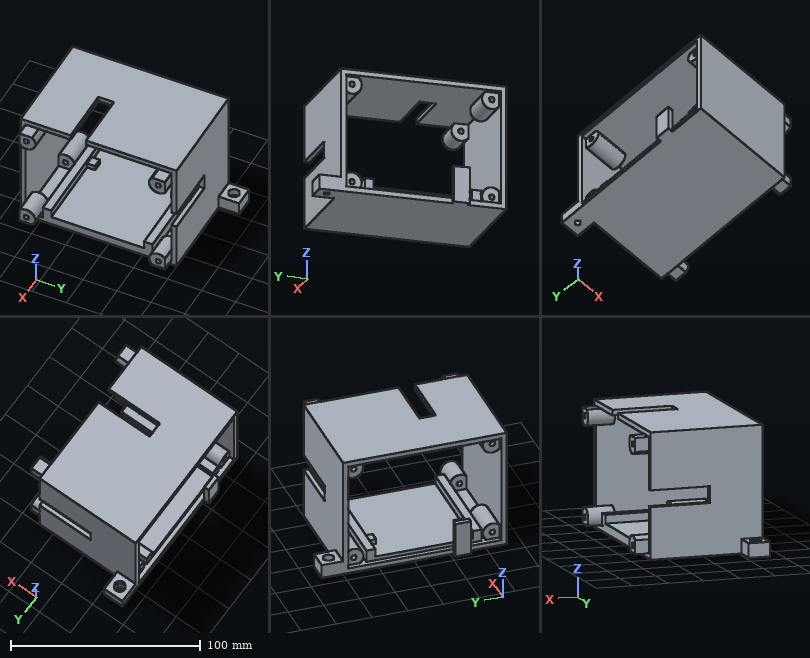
import cadquery as cq

BODY_LENGTH = 62.6
BODY_WIDTH = 91.8
BODY_HEIGHT = 68.8
WALL = 3.0

POST_RADIUS = 5.4
POST_INSET = 4.0
POST_HOLE_DIAMETER = 2.8
FRONT_POST_START = WALL
FRONT_POST_LENGTH = 20.0
REAR_POST_LENGTH = 15.0
REAR_POST_PROJECTION = 7.7

EAR_SIZE = 12.0
EAR_HEIGHT = 8.0
EAR_HOLE_DIAMETER = 3.0
EAR_COUNTERBORE_DIAMETER = 6.0
EAR_COUNTERBORE_DEPTH = 4.0

TAB_WIDTH = 8.8
TAB_HEIGHT = 20.0
TAB_Y = 21.2

TRAY_START = WALL
TRAY_THICKNESS = 2.3
TRAY_Y = 13.1
TRAY_WIDTH = 64.6
RAIL_WIDTH = 5.0
RAIL_HEIGHT = 7.0
BLOCK_HEIGHT = 2.8
BLOCK_LENGTH = 5.6
LEFT_BLOCK_START = 15.2
RIGHT_BLOCK_START = 14.1
BLOCK_WIDTH = 4.8

SLOT_START = 29.4
ROOF_SLOT_Y = 29.5
SLOT_WIDTH = 9.0
WALL_SLOT_Z = 28.5

INNER_WIDTH = BODY_WIDTH - 2 * WALL
INNER_HEIGHT = BODY_HEIGHT - 2 * WALL


def block(x, y, z, length, width, height):
    """Box placed by its lowest corner."""
    return cq.Workplane("XY").box(length, width, height, centered=False).translate((x, y, z))


def cylinder_x(x, y, z, radius, length):
    """Cylinder running in +X from the given point."""
    return cq.Workplane(cq.Solid.makeCylinder(radius, length, cq.Vector(x, y, z), cq.Vector(1, 0, 0)))


def post(x, y, z, length):
    """Round post trimmed by the inner wall planes, with its wall corner filled in."""
    corner_y = WALL if y < BODY_WIDTH / 2 else BODY_WIDTH - WALL - POST_INSET
    corner_z = WALL if z < BODY_HEIGHT / 2 else BODY_HEIGHT - WALL - POST_INSET
    corner = block(x, corner_y, corner_z, length, POST_INSET, POST_INSET)
    interior = block(x, WALL, WALL, length, INNER_WIDTH, INNER_HEIGHT)
    return cylinder_x(x, y, z, POST_RADIUS, length).intersect(interior).union(corner)


def housing():
    shell = block(0, 0, 0, BODY_LENGTH, BODY_WIDTH, BODY_HEIGHT)
    return shell.cut(block(0, WALL, WALL, BODY_LENGTH, INNER_WIDTH, INNER_HEIGHT))


def add_tray(body):
    tray_end = TRAY_Y + TRAY_WIDTH
    length = BODY_LENGTH - TRAY_START
    tray_top = WALL + TRAY_THICKNESS
    body = body.union(block(TRAY_START, TRAY_Y, WALL, length, TRAY_WIDTH, TRAY_THICKNESS))
    for rail_y in (TRAY_Y, tray_end - RAIL_WIDTH):
        body = body.union(block(TRAY_START, rail_y, WALL, length, RAIL_WIDTH, RAIL_HEIGHT))
    left_y = tray_end - RAIL_WIDTH - BLOCK_WIDTH
    right_y = TRAY_Y + RAIL_WIDTH
    for block_x, block_y in ((LEFT_BLOCK_START, left_y), (RIGHT_BLOCK_START, right_y)):
        body = body.union(block(block_x, block_y, tray_top, BLOCK_LENGTH, BLOCK_WIDTH, BLOCK_HEIGHT))
    return body


def add_posts(body):
    edge = WALL + POST_INSET
    rear_start = BODY_LENGTH + REAR_POST_PROJECTION - REAR_POST_LENGTH
    for y in (edge, BODY_WIDTH - edge):
        for z in (edge, BODY_HEIGHT - edge):
            for x, length in ((FRONT_POST_START, FRONT_POST_LENGTH), (rear_start, REAR_POST_LENGTH)):
                body = body.union(post(x, y, z, length))
                body = body.cut(cylinder_x(x, y, z, POST_HOLE_DIAMETER / 2, length))
    return body


def ear():
    pad = block(0, BODY_WIDTH, 0, EAR_SIZE, EAR_SIZE, EAR_HEIGHT)
    return pad.faces(">Z").workplane(centerOption="CenterOfMass").cboreHole(
        EAR_HOLE_DIAMETER, EAR_COUNTERBORE_DIAMETER, EAR_COUNTERBORE_DEPTH
    )


def cut_slots(body):
    roof_z = BODY_HEIGHT - WALL
    side_y = BODY_WIDTH - WALL
    slot_length = BODY_LENGTH - SLOT_START
    roof_slot = block(SLOT_START, ROOF_SLOT_Y, roof_z, slot_length, SLOT_WIDTH, WALL)
    wall_slot = block(SLOT_START, side_y, WALL_SLOT_Z, slot_length, WALL, SLOT_WIDTH)
    return body.cut(roof_slot).cut(wall_slot)


body = cut_slots(add_posts(add_tray(housing())))
tab = block(-WALL, TAB_Y, 0, WALL, TAB_WIDTH, TAB_HEIGHT)
result = body.union(ear()).union(tab)